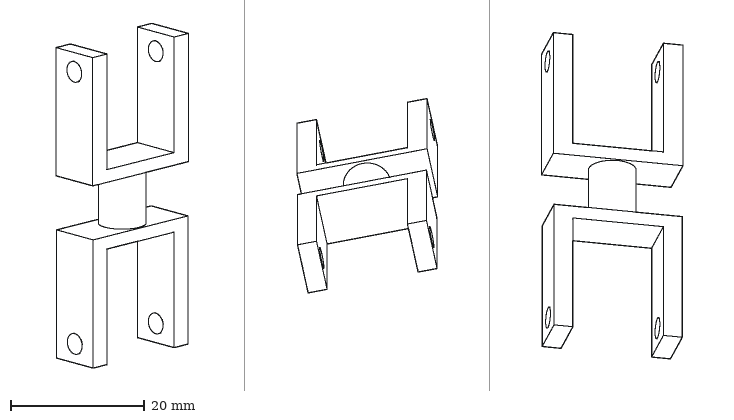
import cadquery as cq

total_height = 48.4
fork_width = 8.0
fork_height = 20.0
upper_span = 20.0
lower_span = 19.8

leg_gap = 13.95
bridge_thickness = 2.0
pin_hole_diameter = 3.2
pin_hole_to_tip = 3.0

neck_diameter = 7.2
neck_length = total_height - 2 * fork_height


def make_fork(span):
    """U-shaped fork with its bridge back at the neck end and its legs pointing up."""
    bridge_back = neck_length / 2
    slot_floor = bridge_back + bridge_thickness
    hole_height = total_height / 2 - pin_hole_to_tip

    block = (
        cq.Workplane("XY")
        .workplane(offset=bridge_back)
        .rect(fork_width, span)
        .extrude(fork_height)
    )
    slot = (
        cq.Workplane("XY")
        .workplane(offset=slot_floor)
        .rect(fork_width, leg_gap)
        .extrude(fork_height - bridge_thickness)
    )
    pin_hole = (
        cq.Workplane("XZ")
        .center(0, hole_height)
        .circle(pin_hole_diameter / 2)
        .extrude(span / 2, both=True)
    )
    return block.cut(slot).cut(pin_hole)


upper_fork = make_fork(upper_span)
lower_fork = make_fork(lower_span).rotate((0, 0, 0), (1, 0, 0), 180)
neck = cq.Workplane("XY").circle(neck_diameter / 2).extrude(neck_length / 2, both=True)

result = neck.union(upper_fork).union(lower_fork)